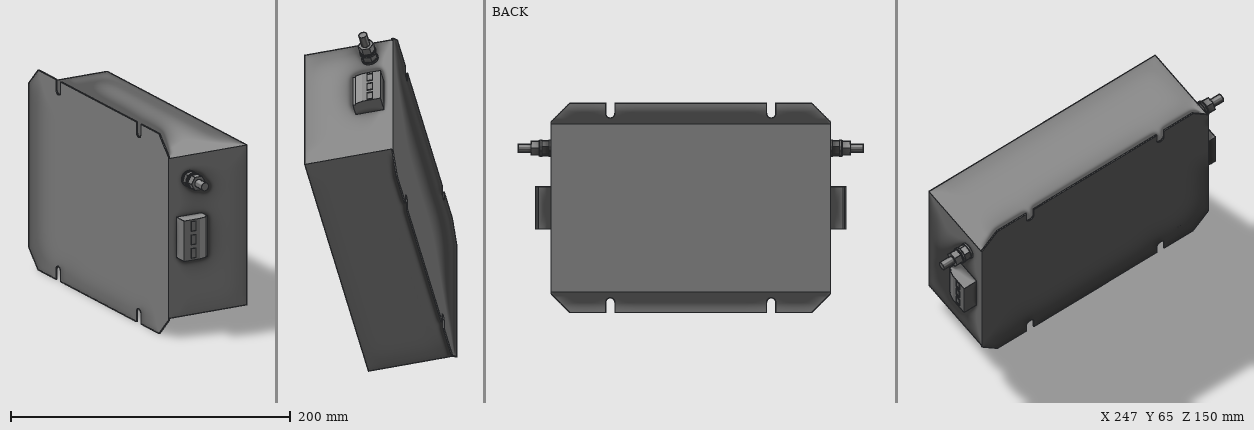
import cadquery as cq
import math

CASE_LENGTH = 200.0
CASE_DEPTH = 65.0
CASE_HEIGHT = 120.0
PLATE_HEIGHT = 150.0
PLATE_THICKNESS = 1.0
CORNER_CUT = 13.5

SLOT_WIDTH = 6.5
SLOT_DEPTH = 10.5
SLOT_SPACING = 115.0

OVERALL_LENGTH = 247.0
STUD_DIAMETER = 6.0
STUD_Y = 16.8
STUD_Z = 42.7
WASHER_DIAMETER = 11.9
SPRING_WASHER_DIAMETER = 11.0
NUT_ACROSS_FLATS = 10.0
NUT_ACROSS_CORNERS = NUT_ACROSS_FLATS / math.cos(math.radians(30))
INNER_NUT_TURN = 13.0
BASE_WASHER_THICKNESS = 1.5
INNER_NUT_THICKNESS = 5.0
MIDDLE_WASHER_THICKNESS = 1.5
SPRING_WASHER_THICKNESS = 0.7
OUTER_NUT_THICKNESS = 5.5

POLE_COUNT = 3
POLE_HEIGHT = 10.1
BLOCK_FRONT_Y = 6.7
BLOCK_BACK_Y = 27.5
BLOCK_REACH = 11.0
LEDGE_REACH = 9.0
LEDGE_WIDTH = 2.0
SLOPE_WIDTH = 5.5
SLOPE_DROP = 1.2
WINDOW_Y = 14.5
WINDOW_WIDTH = 4.0
WINDOW_HEIGHT = 7.2
WINDOW_DEPTH = 0.5

WALL_X = CASE_LENGTH / 2


def make_plate():
    """Mounting plate with cut corners and four round-ended slots."""
    plate = (
        cq.Workplane("XY")
        .box(CASE_LENGTH, PLATE_THICKNESS, PLATE_HEIGHT, centered=(True, False, True))
        .edges("|Y")
        .chamfer(CORNER_CUT)
    )
    slots = (
        cq.Workplane("XZ")
        .rarray(SLOT_SPACING, PLATE_HEIGHT, 2, 2)
        .slot2D(2 * SLOT_DEPTH, SLOT_WIDTH, 90)
        .extrude(-PLATE_THICKNESS)
    )
    return plate.cut(slots)


def make_case():
    """Plain box that fills the depth behind the plate."""
    return cq.Workplane("XY").box(CASE_LENGTH, CASE_DEPTH, CASE_HEIGHT, centered=(True, False, True))


def stud_plane(offset):
    """Workplane across the stud axis, the given distance out from the +X wall."""
    return cq.Workplane("YZ", origin=(WALL_X + offset, STUD_Y, STUD_Z))


def make_washer(offset, thickness, diameter=WASHER_DIAMETER):
    return stud_plane(offset).circle(diameter / 2).extrude(thickness)


def make_nut(offset, thickness, turn):
    plane = stud_plane(offset).transformed(rotate=(0, 0, turn))
    return plane.polygon(6, NUT_ACROSS_CORNERS).extrude(thickness)


def make_stud():
    """Stud on the +X wall: washer, nut, washer, spring washer, nut, then the bare stud end."""
    inner_nut_start = BASE_WASHER_THICKNESS
    middle_washer_start = inner_nut_start + INNER_NUT_THICKNESS
    spring_washer_start = middle_washer_start + MIDDLE_WASHER_THICKNESS
    outer_nut_start = spring_washer_start + SPRING_WASHER_THICKNESS
    return (
        stud_plane(0)
        .circle(STUD_DIAMETER / 2)
        .extrude(OVERALL_LENGTH / 2 - WALL_X)
        .union(make_washer(0, BASE_WASHER_THICKNESS))
        .union(make_nut(inner_nut_start, INNER_NUT_THICKNESS, INNER_NUT_TURN))
        .union(make_washer(middle_washer_start, MIDDLE_WASHER_THICKNESS))
        .union(make_washer(spring_washer_start, SPRING_WASHER_THICKNESS, SPRING_WASHER_DIAMETER))
        .union(make_nut(outer_nut_start, OUTER_NUT_THICKNESS, 0))
    )


def make_pole():
    """One terminal pole on the +X wall, with a wire window in its outer face."""
    ledge_y = BLOCK_BACK_Y - LEDGE_WIDTH
    body = (
        cq.Workplane("XY")
        .polyline(
            [
                (WALL_X, BLOCK_FRONT_Y),
                (WALL_X + BLOCK_REACH, BLOCK_FRONT_Y),
                (WALL_X + BLOCK_REACH, ledge_y - SLOPE_WIDTH),
                (WALL_X + BLOCK_REACH - SLOPE_DROP, ledge_y),
                (WALL_X + LEDGE_REACH, ledge_y),
                (WALL_X + LEDGE_REACH, BLOCK_BACK_Y),
                (WALL_X, BLOCK_BACK_Y),
            ]
        )
        .close()
        .extrude(POLE_HEIGHT / 2, both=True)
    )
    window = (
        cq.Workplane("YZ", origin=(WALL_X + BLOCK_REACH, WINDOW_Y, 0))
        .rect(WINDOW_WIDTH, WINDOW_HEIGHT)
        .extrude(-WINDOW_DEPTH)
    )
    return body.cut(window)


result = make_case().union(make_plate())

end_parts = [make_stud()]
for index in range(POLE_COUNT):
    pole_z = (index - (POLE_COUNT - 1) / 2) * POLE_HEIGHT
    end_parts.append(make_pole().translate((0, 0, pole_z)))

for part in end_parts:
    result = result.union(part, clean=False).union(part.mirror("YZ"), clean=False)